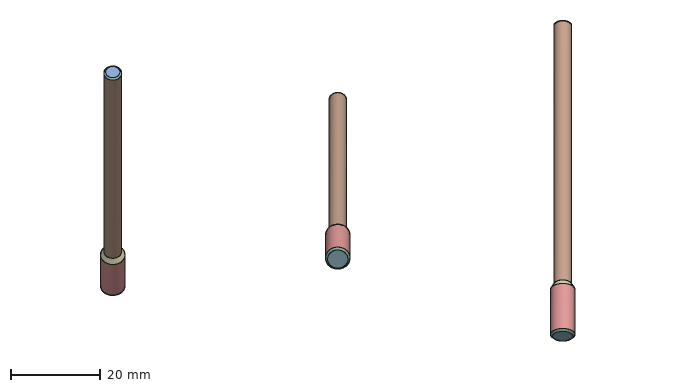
import cadquery as cq
import math

total_length = 80.0
shank_radius = 4.0 / 2
head_radius = 5.5 / 2

shoulder_base_height = 12.0
shoulder_angle = 30.0
shoulder_height = (head_radius - shank_radius) / math.tan(math.radians(shoulder_angle))
head_top = shoulder_base_height + shoulder_height

head_chamfer = 0.5
tip_chamfer = 0.4


def make_head():
    """Cylindrical head, bevelled below and tapered above."""
    body = cq.Workplane("XY").circle(head_radius).extrude(shoulder_base_height)
    body = body.faces("<Z").chamfer(head_chamfer)
    shoulder = cq.Solid.makeCone(
        head_radius, shank_radius, shoulder_height, pnt=cq.Vector(0, 0, shoulder_base_height)
    )
    return body.union(cq.Workplane(shoulder))


def make_shank():
    """Slender round shank standing on the head, with a bevelled tip."""
    shank = (
        cq.Workplane("XY")
        .workplane(offset=head_top)
        .circle(shank_radius)
        .extrude(total_length - head_top)
    )
    return shank.faces(">Z").chamfer(tip_chamfer)


head = make_head()
shank = make_shank()
result = cq.Compound.makeCompound([head.val(), shank.val()])